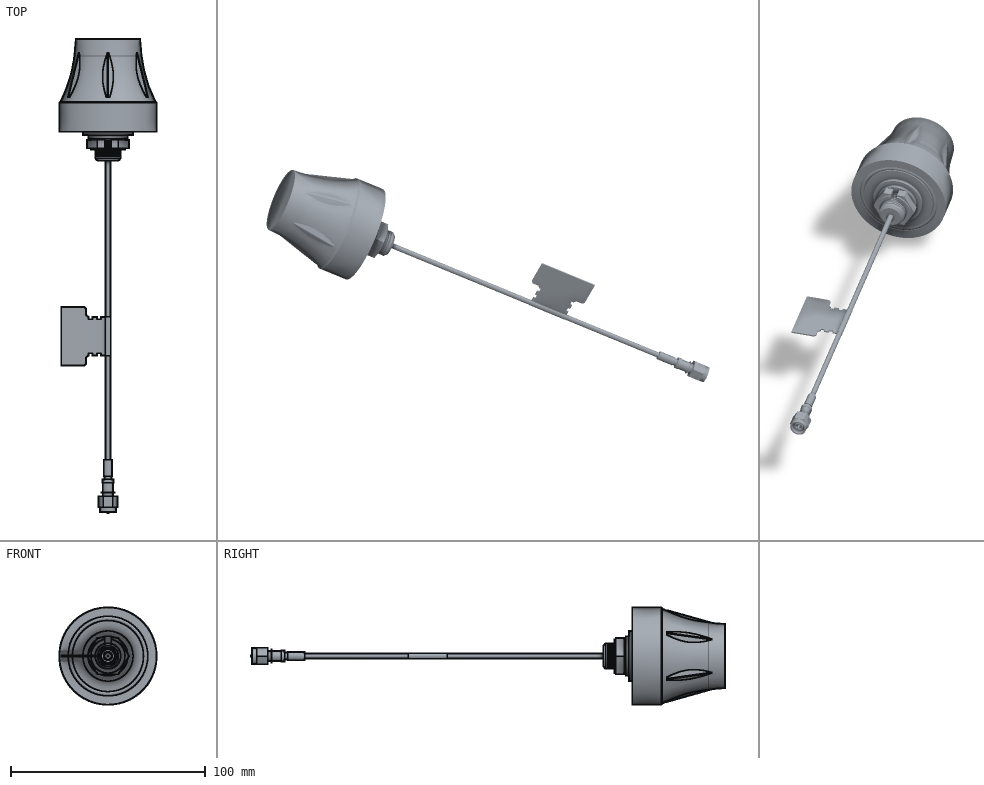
import cadquery as cq
import math


rim_radius = 25.0
rim_top = 14.8
shoulder_radius = 24.3
shoulder_top = 15.5
waist_radius = 19.2
waist_y = 29.0
neck_radius = 17.3
neck_y = 39.2
crown_radius = 16.5
crown_y = 47.7

ridge_count = 6
ridge_top_radius = 17.0
ridge_top_y = 41.0
ridge_end_radius = 23.5
ridge_end_y = 17.8
ridge_depth = 3.0
ridge_half_width = 5.5
ridge_crest_half_width = 0.2

seal_inner_radius = 18.2
seal_outer_radius = 20.5
seal_groove_depth = 2.0

flange_radius = 13.0
flange_end = -1.7
washer_radius = 10.2
washer_end = -3.5
nut_flats = 18.7
nut_top = -4.1
nut_end = -8.5
nut_slot_width = 3.2
nut_collar_radius = 8.8
nut_collar_end = -9.2
thread_radius = 6.5
thread_root_radius = 5.8
thread_groove_width = 0.5
thread_pitch = 1.2
thread_groove_count = 7
stud_end = -14.8
stud_chamfer = 1.2

cable_radius = 1.34
ferrule_radius = 2.2
ferrule_top = -168.0
ferrule_groove_radius = 1.82
ferrule_groove_top = -176.5
collar_ring_radius = 3.0
collar_ring_top = -178.3
collar_ring_end = -180.0
barrel_radius = 2.7
ring_radius = 3.5
ring_top = -184.8
ring_end = -185.0
coupling_flats = 8.5
coupling_top = -186.8
coupling_end = -192.6
rim_end = -195.0
connector_rim_radius = 4.1
bore_radius = 3.5
bore_depth = 4.9
sleeve_outer_radius = 2.2
sleeve_inner_radius = 1.7
sleeve_recess = 1.2
pin_radius = 0.5
pin_end = -195.5

label_y = -104.8
label_thickness = 0.7
label_end_x = -24.0
label_wide_x = -11.2
label_wide_half = 15.0
label_neck_x = -10.2
label_neck_half = 10.0
label_corner = 1.0
label_sleeve_radius = 1.5
label_notch_xs = (-9.0, -4.5)
label_notch_width = 2.0
label_notch_depth = 1.2


def disc(radius, top, end):
    """Cylinder about the Y axis from y = top down to y = end."""
    return cq.Workplane("XZ", origin=(0, top, 0)).circle(radius).extrude(top - end)


def tube(outer_radius, inner_radius, top, end):
    """Hollow cylinder about the Y axis from y = top down to y = end."""
    return disc(outer_radius, top, end).cut(disc(inner_radius, top, end))


def hexagon(flats, top, end):
    """Hexagonal prism about the Y axis with flats facing +Z and -Z."""
    corners = flats / math.cos(math.pi / 6)
    return cq.Workplane("XZ", origin=(0, top, 0)).polygon(6, corners).extrude(top - end)


def around_y(shape, count):
    """Copies of a shape spaced evenly about the Y axis."""
    copies = shape
    for index in range(1, count):
        copies = copies.union(shape.rotate((0, 0, 0), (0, 1, 0), index * 360 / count))
    return copies


def radome():
    """Flared cap of revolution with straight ridges bridging its concave flank."""
    body = (
        cq.Workplane("XY")
        .moveTo(0, 0)
        .lineTo(rim_radius, 0)
        .lineTo(rim_radius, rim_top)
        .lineTo(shoulder_radius, shoulder_top)
        .threePointArc((waist_radius, waist_y), (neck_radius, neck_y))
        .lineTo(crown_radius, crown_y)
        .lineTo(0, crown_y)
        .close()
        .revolve(360, (0, 0, 0), (0, 1, 0))
    )
    rise = ridge_end_radius - ridge_top_radius
    run = ridge_top_y - ridge_end_y
    ridge = (
        cq.Workplane("XZ")
        .polyline([
            (-ridge_crest_half_width, 0),
            (ridge_crest_half_width, 0),
            (ridge_half_width, -ridge_depth),
            (-ridge_half_width, -ridge_depth),
        ])
        .close()
        .extrude(math.hypot(rise, run))
        .rotate((0, 0, 0), (1, 0, 0), -math.degrees(math.atan2(rise, run)))
        .translate((0, ridge_top_y, ridge_top_radius))
    )
    return body.union(around_y(ridge, ridge_count))


def seal_ring():
    """Round-section ring lying flush in the groove of the mounting face."""
    center_radius = (seal_inner_radius + seal_outer_radius) / 2
    section_radius = (seal_outer_radius - seal_inner_radius) / 2
    return (
        cq.Workplane("XY")
        .moveTo(center_radius, section_radius)
        .circle(section_radius)
        .revolve(360, (0, 0, 0), (0, 1, 0))
    )


def nut():
    """Hexagonal nut with a round collar at both faces and one slot down to the thread."""
    slot = (
        cq.Workplane("XY")
        .box(nut_slot_width, washer_end - nut_collar_end, nut_flats, centered=(True, False, False))
        .translate((0, nut_collar_end, thread_root_radius))
    )
    collar = disc(nut_collar_radius, washer_end, nut_collar_end)
    return hexagon(nut_flats, nut_top, nut_end).union(collar).cut(slot)


def threaded_stud():
    """Stud with a chamfered tip and ring grooves standing for its thread."""
    stud = disc(thread_radius, 0, stud_end).faces("<Y").chamfer(stud_chamfer)
    for index in range(1, thread_groove_count + 1):
        groove_end = stud_end + stud_chamfer + index * thread_pitch
        groove_top = groove_end + thread_groove_width
        stud = stud.cut(tube(thread_radius, thread_root_radius, groove_top, groove_end))
    return stud


def connector():
    """Crimped coaxial plug: ferrule, barrel, hexagonal coupling nut, open bore and pin."""
    bore_floor = rim_end + bore_depth
    return (
        disc(ferrule_radius, ferrule_top, ferrule_groove_top)
        .union(disc(ferrule_groove_radius, ferrule_groove_top, collar_ring_top))
        .union(disc(collar_ring_radius, collar_ring_top, collar_ring_end))
        .union(disc(barrel_radius, collar_ring_end, coupling_top))
        .union(disc(ring_radius, ring_top, ring_end))
        .union(hexagon(coupling_flats, coupling_top, coupling_end))
        .union(disc(connector_rim_radius, coupling_end, rim_end))
        .cut(disc(bore_radius, bore_floor, rim_end))
        .union(tube(sleeve_outer_radius, sleeve_inner_radius, bore_floor, rim_end + sleeve_recess))
        .union(disc(pin_radius, bore_floor, pin_end))
    )


def label():
    """Flag label with a narrow notched neck and a sleeve around the cable."""
    upper_edge = [
        (0, label_neck_half),
        (label_neck_x, label_neck_half),
        (label_wide_x, label_neck_half + label_corner),
        (label_wide_x, label_wide_half - label_corner),
        (label_wide_x - label_corner, label_wide_half),
        (label_end_x, label_wide_half),
    ]
    lower_edge = [(x, -y) for x, y in reversed(upper_edge)]
    sheet = cq.Workplane("XY").polyline(upper_edge + lower_edge).close().extrude(label_thickness / 2, both=True)
    notches = (
        cq.Workplane("XY")
        .pushPoints([(x, side * label_neck_half) for x in label_notch_xs for side in (1, -1)])
        .rect(label_notch_width, 2 * label_notch_depth)
        .extrude(label_thickness, both=True)
    )
    sleeve = disc(label_sleeve_radius, label_neck_half, -label_neck_half)
    return sheet.cut(notches).union(sleeve).translate((0, label_y, 0))


result = (
    radome()
    .cut(tube(seal_outer_radius, seal_inner_radius, seal_groove_depth, 0))
    .union(seal_ring())
    .union(disc(flange_radius, 0, flange_end))
    .union(disc(washer_radius, flange_end, washer_end))
    .union(nut())
    .union(threaded_stud())
    .union(disc(cable_radius, stud_end, ferrule_top))
    .union(connector())
    .union(label())
)